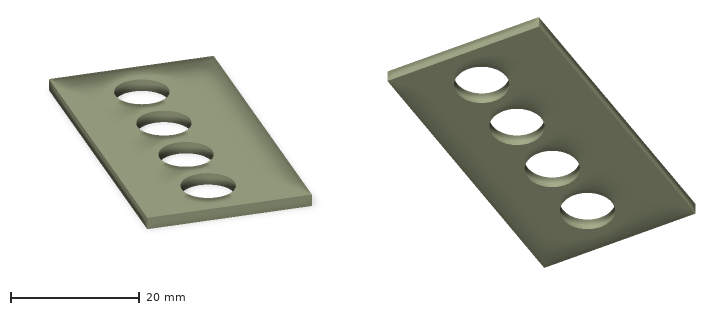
import cadquery as cq

length = 50.8
width = 26.9
thickness = 2.0

hole_count = 4
hole_diameter = 8.65
hole_pitch = 11.45
first_hole_from_left = 8.65
row_offset_y = -1.0

first_hole_x = first_hole_from_left - length / 2
hole_centers = [(first_hole_x + i * hole_pitch, row_offset_y) for i in range(hole_count)]

plate = cq.Workplane("XY").box(length, width, thickness)
result = plate.faces(">Z").workplane().pushPoints(hole_centers).hole(hole_diameter)